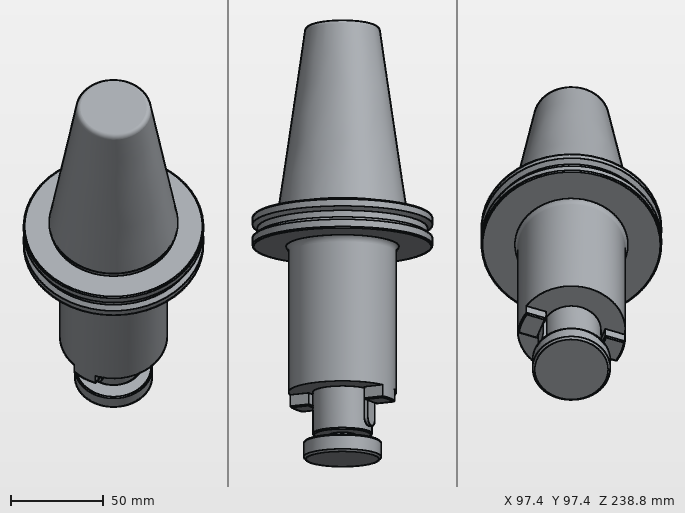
import cadquery as cq
import math

TOTAL_HEIGHT = 238.8
HEAD_TOP = 9.5
SPIGOT_BOTTOM = 13.4
SHOULDER = 37.0
FLANGE_BOTTOM = 117.5
FLANGE_TOP = 134.0
GAUGE_HEIGHT = 137.0

GAUGE_RADIUS = 34.9
TAPER_SLOPE = 7 / 24 / 2
TAPER_TOP_RADIUS = GAUGE_RADIUS - TAPER_SLOPE * (TOTAL_HEIGHT - GAUGE_HEIGHT)
TAPER_TOP_FILLET = 2.1
COLLAR_RADIUS = 34.1

FLANGE_RADIUS = 48.7
FLANGE_CHAMFER = 0.7
GROOVE_RADIUS = 46.0
GROOVE_CENTER = 125.8
GROOVE_FLOOR_WIDTH = 3.5
GROOVE_MOUTH_WIDTH = 7.5

BODY_RADIUS = 29.1
BODY_FLARE_HEIGHT = 3.3
BODY_FLARE_WIDTH = 1.5
SPIGOT_RADIUS = 16.0
SPIGOT_CHAMFER = 0.7
NECK_RADIUS = 8.0
NECK_BULGE = 1.2
HEAD_RADIUS = 21.0
HEAD_BOTTOM_CHAMFER = 1.2
HEAD_TOP_CHAMFER = 0.7

LUG_WIDTH = 13.8
LUG_HEIGHT = 7.0
LUG_INNER_REACH = 17.0
LUG_CHAMFER = 0.7
LUG_BLANK_LENGTH = 3 * BODY_RADIUS
KEY_WIDTH = 8.0
KEY_BOTTOM = 16.7
KEY_REACH = 17.7


def turned_body():
    """Revolve everything that is round about the Z axis."""
    neck_end_radius = NECK_RADIUS - NECK_BULGE
    neck_middle = (HEAD_TOP + SPIGOT_BOTTOM) / 2
    groove_floor = GROOVE_FLOOR_WIDTH / 2
    groove_mouth = GROOVE_MOUTH_WIDTH / 2
    rim_edge = FLANGE_RADIUS - FLANGE_CHAMFER
    cap_edge = TAPER_TOP_RADIUS - TAPER_TOP_FILLET
    cap_side = TAPER_TOP_RADIUS + TAPER_SLOPE * TAPER_TOP_FILLET
    cap_diagonal = TAPER_TOP_FILLET * (1 - math.sqrt(0.5))
    profile = (
        cq.Workplane("XZ")
        .lineTo(HEAD_RADIUS - HEAD_BOTTOM_CHAMFER, 0)
        .lineTo(HEAD_RADIUS, HEAD_BOTTOM_CHAMFER)
        .lineTo(HEAD_RADIUS, HEAD_TOP - HEAD_TOP_CHAMFER)
        .lineTo(HEAD_RADIUS - HEAD_TOP_CHAMFER, HEAD_TOP)
        .lineTo(neck_end_radius, HEAD_TOP)
        .threePointArc((NECK_RADIUS, neck_middle), (neck_end_radius, SPIGOT_BOTTOM))
        .lineTo(SPIGOT_RADIUS - SPIGOT_CHAMFER, SPIGOT_BOTTOM)
        .lineTo(SPIGOT_RADIUS, SPIGOT_BOTTOM + SPIGOT_CHAMFER)
        .lineTo(SPIGOT_RADIUS, SHOULDER)
        .lineTo(BODY_RADIUS, SHOULDER)
        .lineTo(BODY_RADIUS, FLANGE_BOTTOM - BODY_FLARE_HEIGHT)
        .tangentArcPoint((BODY_RADIUS + BODY_FLARE_WIDTH, FLANGE_BOTTOM), relative=False)
        .lineTo(rim_edge, FLANGE_BOTTOM)
        .lineTo(FLANGE_RADIUS, FLANGE_BOTTOM + FLANGE_CHAMFER)
        .lineTo(FLANGE_RADIUS, GROOVE_CENTER - groove_mouth)
        .lineTo(GROOVE_RADIUS, GROOVE_CENTER - groove_floor)
        .lineTo(GROOVE_RADIUS, GROOVE_CENTER + groove_floor)
        .lineTo(FLANGE_RADIUS, GROOVE_CENTER + groove_mouth)
        .lineTo(FLANGE_RADIUS, FLANGE_TOP - FLANGE_CHAMFER)
        .lineTo(rim_edge, FLANGE_TOP)
        .lineTo(COLLAR_RADIUS, FLANGE_TOP)
        .lineTo(COLLAR_RADIUS, GAUGE_HEIGHT - (GAUGE_RADIUS - COLLAR_RADIUS))
        .lineTo(GAUGE_RADIUS, GAUGE_HEIGHT)
        .lineTo(cap_side, TOTAL_HEIGHT - TAPER_TOP_FILLET)
        .threePointArc(
            (TAPER_TOP_RADIUS - cap_diagonal, TOTAL_HEIGHT - cap_diagonal),
            (cap_edge, TOTAL_HEIGHT),
        )
        .lineTo(0, TOTAL_HEIGHT)
        .close()
    )
    return profile.revolve(360, (0, 0, 0), (0, 1, 0))


def drive_lugs():
    """Two lugs below the shoulder, on the -Y and +Y sides."""
    bottom = SHOULDER - LUG_HEIGHT
    bar = (
        cq.Workplane("XY", origin=(0, 0, bottom))
        .rect(LUG_WIDTH, LUG_BLANK_LENGTH)
        .extrude(LUG_HEIGHT)
    )
    disc = cq.Workplane("XY", origin=(0, 0, bottom)).circle(BODY_RADIUS).extrude(LUG_HEIGHT)
    gap = (
        cq.Workplane("XY", origin=(0, 0, bottom))
        .rect(LUG_WIDTH, 2 * LUG_INNER_REACH)
        .extrude(LUG_HEIGHT)
    )
    return bar.intersect(disc).cut(gap).faces("<Z").edges().chamfer(LUG_CHAMFER)


def feather_key():
    """Key on the -Y side of the spigot, with a rounded lower end."""
    half_width = KEY_WIDTH / 2
    round_center = KEY_BOTTOM + half_width
    return (
        cq.Workplane("XZ")
        .moveTo(-half_width, SHOULDER)
        .lineTo(-half_width, round_center)
        .threePointArc((0, KEY_BOTTOM), (half_width, round_center))
        .lineTo(half_width, SHOULDER)
        .close()
        .extrude(KEY_REACH)
    )


result = turned_body().union(drive_lugs()).union(feather_key())